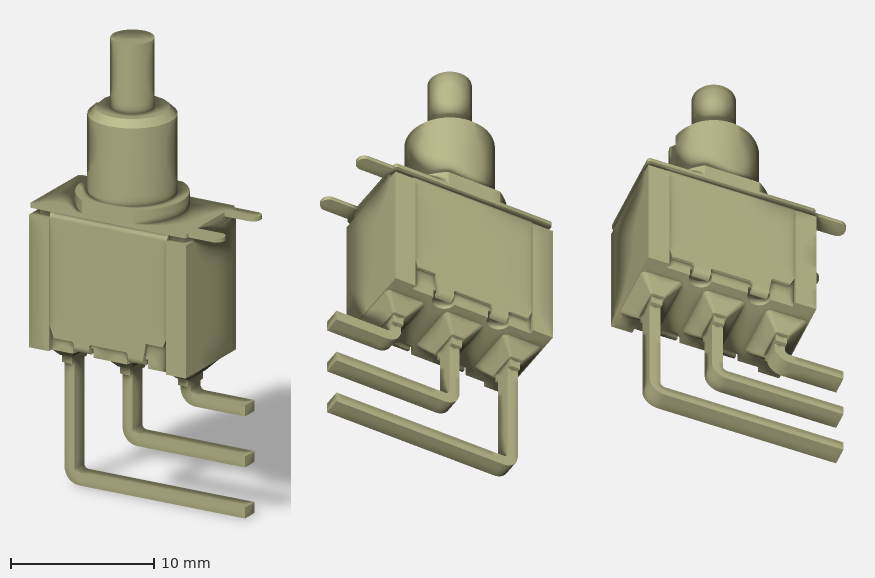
import cadquery as cq


BLOCK_LENGTH = 12.7
BLOCK_DEPTH = 6.9
BLOCK_HEIGHT = 9.88
NECK_LENGTH = 12.62
NECK_DEPTH = 5.82
NECK_HEIGHT = 0.5
NECK_CHAMFER = 0.55
NECK_TOP = BLOCK_HEIGHT + NECK_HEIGHT

SHEET = 0.3
PLATE_TOP = NECK_TOP + SHEET
PLATE_CORNER_RADIUS = 0.25
STRAP_LENGTH = 9.5
STRAP_DEPTH = 6.7
STRAP_BEND_RADIUS = 0.5
CORE_DEPTH = STRAP_DEPTH - 2 * SHEET
INNER_BEND_RADIUS = STRAP_BEND_RADIUS - SHEET

EDGE_HEIGHT = 1.0
STEP_HEIGHT = 1.93
LEFT_SLANT_TOP = 1.9
RIGHT_SLANT_TOP = 2.7
SLANT_RUN = 0.35
STEP_SLANT_RUN = 0.2
EDGE_CORNER_RADIUS = 0.2

TAB_OFFSET = 2.2
TAB_WIDTH = 1.25
POCKET_RADIUS = 0.85
POCKET_HEIGHT = 0.68

LEG_SPACING = 5.0
LEG_WIDTH = 1.22
LEG_END_X = 8.9
LEG_END_RADIUS = 0.58

FLANGE_DIAMETER = 8.02
FLANGE_DEPTH = 6.87
FLANGE_HEIGHT = 1.0
BUSHING_DIAMETER = 6.33
BUSHING_HEIGHT = 6.3
BUSHING_CHAMFER_RUN = 0.55
BUSHING_CHAMFER_HEIGHT = 0.5
KEYWAY_WIDTH = 1.08
KEYWAY_FLOOR_X = -2.45
BUTTON_DIAMETER = 3.1
BUTTON_HEIGHT = 5.15
FLANGE_TOP = PLATE_TOP + FLANGE_HEIGHT
BUSHING_TOP = FLANGE_TOP + BUSHING_HEIGHT

TERMINAL_PITCH = 4.7
TERMINAL_THICKNESS = 0.8
TERMINAL_WIDTH = 1.35
SHOULDER_WIDTH = 2.03
SHOULDER_Z = -1.62
TERMINAL_END_X = 9.5
TERMINAL_INNER_RADIUS = 0.37
FIRST_LEG_BOTTOM = -3.1
LEG_STEP = 3.8
SEAL_HEIGHT = 1.0
SEAL_TOP_SIZE = (3.1, 4.33)
SEAL_TOP_RADIUS = 0.35
SEAL_TIP_SIZE = (1.08, 2.57)
SEAL_TIP_RADIUS = 0.17


def box(length, depth, bottom, top):
    """Box centred on the Z axis, between two heights."""
    return cq.Workplane("XY").workplane(offset=bottom).rect(length, depth).extrude(top - bottom)


def cylinder(diameter, bottom, top):
    """Cylinder on the Z axis, between two heights."""
    return cq.Workplane("XY").workplane(offset=bottom).circle(diameter / 2).extrude(top - bottom)


def strap_core():
    """Rounded space enclosed by the strap."""
    core = box(STRAP_LENGTH, CORE_DEPTH, 0, NECK_TOP - SHEET)
    return core.edges("|X and >Z").fillet(INNER_BEND_RADIUS)


def housing_block():
    """Block with a chamfered neck, a waist that takes the strap, and pockets for the tabs."""
    neck = box(NECK_LENGTH, NECK_DEPTH, BLOCK_HEIGHT, NECK_TOP).edges("|Z").chamfer(NECK_CHAMFER)
    block = box(BLOCK_LENGTH, BLOCK_DEPTH, 0, BLOCK_HEIGHT).union(neck)
    block = block.cut(box(STRAP_LENGTH, BLOCK_DEPTH, 0, NECK_TOP)).union(strap_core())
    pocket_centers = [(x, y) for x in (-TAB_OFFSET, TAB_OFFSET) for y in (-CORE_DEPTH / 2, CORE_DEPTH / 2)]
    pockets = cq.Workplane("XY").pushPoints(pocket_centers).circle(POCKET_RADIUS).extrude(POCKET_HEIGHT)
    waist = box(STRAP_LENGTH, BLOCK_DEPTH, 0, POCKET_HEIGHT)
    return block.cut(pockets.intersect(waist))


def seal(x):
    """Tapered resin seal where a terminal leaves the block."""
    top = cq.Sketch().rect(*SEAL_TOP_SIZE).vertices().fillet(SEAL_TOP_RADIUS)
    tip = cq.Sketch().rect(*SEAL_TIP_SIZE).vertices().fillet(SEAL_TIP_RADIUS)
    tip = tip.moved(cq.Location(cq.Vector(0, 0, -SEAL_HEIGHT)))
    return cq.Workplane("XY").placeSketch(top, tip).loft().translate((x, 0, 0))


def terminal(x, leg_bottom):
    """Flat terminal that drops from the block at x and bends toward +X."""
    left = x - TERMINAL_THICKNESS / 2
    right = x + TERMINAL_THICKNESS / 2
    leg_top = leg_bottom + TERMINAL_THICKNESS
    outer_radius = TERMINAL_INNER_RADIUS + TERMINAL_THICKNESS
    bend_x = left + outer_radius
    bend_z = leg_bottom + outer_radius
    bent_strip = (
        cq.Workplane("XZ")
        .moveTo(left, 0)
        .lineTo(left, bend_z)
        .radiusArc((bend_x, leg_bottom), -outer_radius)
        .lineTo(TERMINAL_END_X, leg_bottom)
        .lineTo(TERMINAL_END_X, leg_top)
        .lineTo(bend_x, leg_top)
        .radiusArc((right, bend_z), TERMINAL_INNER_RADIUS)
        .lineTo(right, 0)
        .close()
        .extrude(TERMINAL_WIDTH / 2, both=True)
    )
    shoulder = box(TERMINAL_THICKNESS, SHOULDER_WIDTH, SHOULDER_Z, 0).translate((x, 0, 0))
    return bent_strip.union(shoulder)


def make_housing():
    """Block with its three seals and terminals; the terminals get longer toward -X."""
    housing = housing_block()
    for index in range(3):
        x = TERMINAL_PITCH * (1 - index)
        housing = housing.union(seal(x)).union(terminal(x, FIRST_LEG_BOTTOM - LEG_STEP * index))
    return housing


def cover_plate():
    """Top plate with two round-ended mounting legs on the +X side."""
    plate = box(BLOCK_LENGTH, BLOCK_DEPTH, NECK_TOP, PLATE_TOP).edges("|Z").fillet(PLATE_CORNER_RADIUS)
    for y in (-LEG_SPACING / 2, LEG_SPACING / 2):
        leg = box(LEG_END_X, LEG_WIDTH, NECK_TOP, PLATE_TOP).translate((LEG_END_X / 2, y, 0))
        plate = plate.union(leg.edges("|Z and >X").fillet(LEG_END_RADIUS))
    return plate


def strap_face_profile():
    """Front outline of the strap, down to the lines where the tabs start to curl."""
    half = STRAP_LENGTH / 2
    tab_outer = TAB_OFFSET + TAB_WIDTH / 2
    tab_inner = TAB_OFFSET - TAB_WIDTH / 2
    outline = [
        (-half, NECK_TOP),
        (-half, LEFT_SLANT_TOP),
        (-half + SLANT_RUN, EDGE_HEIGHT),
        (-tab_outer, EDGE_HEIGHT),
        (-tab_outer, POCKET_HEIGHT),
        (-tab_inner, POCKET_HEIGHT),
        (-tab_inner, EDGE_HEIGHT),
        (tab_inner, EDGE_HEIGHT),
        (tab_inner, POCKET_HEIGHT),
        (tab_outer, POCKET_HEIGHT),
        (tab_outer + STEP_SLANT_RUN, STEP_HEIGHT),
        (half - SLANT_RUN, STEP_HEIGHT),
        (half, RIGHT_SLANT_TOP),
        (half, NECK_TOP),
    ]
    panel = cq.Workplane("XZ").polyline(outline).close().extrude(BLOCK_DEPTH / 2, both=True)
    for x in (-tab_outer, -tab_inner, tab_inner):
        corner = cq.selectors.NearestToPointSelector((x, 0, EDGE_HEIGHT))
        panel = panel.edges("|Y").edges(corner).fillet(EDGE_CORNER_RADIUS)
    return panel


def curled_tabs():
    """Quarter-round tabs that curl from the strap into the pockets."""
    outer_face = STRAP_DEPTH / 2
    bend_center = outer_face - STRAP_BEND_RADIUS
    curl = (
        cq.Workplane("YZ")
        .moveTo(-outer_face, POCKET_HEIGHT)
        .radiusArc((-bend_center, POCKET_HEIGHT - STRAP_BEND_RADIUS), -STRAP_BEND_RADIUS)
        .lineTo(-bend_center, POCKET_HEIGHT - INNER_BEND_RADIUS)
        .radiusArc((-outer_face + SHEET, POCKET_HEIGHT), INNER_BEND_RADIUS)
        .close()
        .extrude(TAB_WIDTH / 2, both=True)
    )
    pair = curl.union(curl.mirror("XZ"))
    return pair.translate((-TAB_OFFSET, 0, 0)).union(pair.translate((TAB_OFFSET, 0, 0)))


def strap():
    """Sheet strap folded down over both faces of the block, with its tabs."""
    shell = box(STRAP_LENGTH, STRAP_DEPTH, 0, NECK_TOP).edges("|X and >Z").fillet(STRAP_BEND_RADIUS)
    shell = shell.cut(strap_core())
    return shell.intersect(strap_face_profile()).union(curled_tabs())


def bushing():
    """Flange with two flats, chamfered bushing with a keyway on the -X side, and the button."""
    radius = BUSHING_DIAMETER / 2
    flange = cylinder(FLANGE_DIAMETER, PLATE_TOP, FLANGE_TOP)
    flange = flange.intersect(box(FLANGE_DIAMETER, FLANGE_DEPTH, PLATE_TOP, FLANGE_TOP))
    barrel = cylinder(BUSHING_DIAMETER, FLANGE_TOP, BUSHING_TOP)
    barrel = barrel.faces(">Z").chamfer(BUSHING_CHAMFER_HEIGHT, BUSHING_CHAMFER_RUN)
    keyway = box(radius, KEYWAY_WIDTH, FLANGE_TOP, BUSHING_TOP)
    barrel = barrel.cut(keyway.translate((KEYWAY_FLOOR_X - radius / 2, 0, 0)))
    button = cylinder(BUTTON_DIAMETER, BUSHING_TOP, BUSHING_TOP + BUTTON_HEIGHT)
    return flange.union(barrel).union(button)


def make_frame():
    """Cover plate, strap, bushing and button as one body."""
    return cover_plate().union(strap()).union(bushing())


housing = make_housing()
frame = make_frame()

result = cq.Compound.makeCompound([housing.solids().val(), frame.solids().val()])